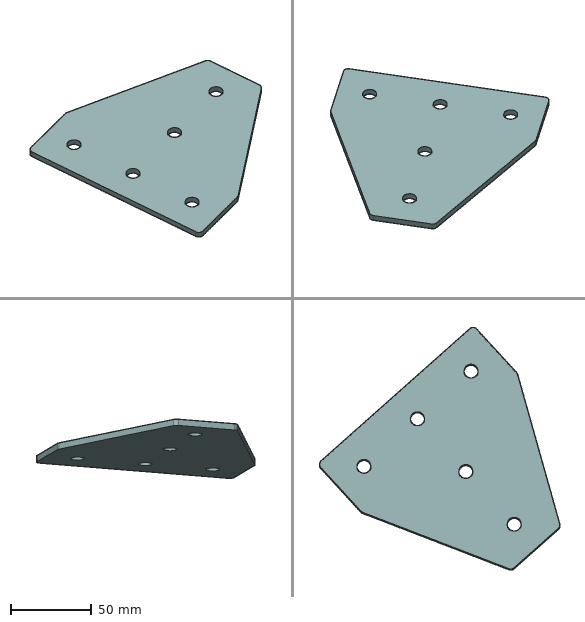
import cadquery as cq

side = 131.0
thickness = 4.0
arm_width = 41.0
corner_radius = 3.0

hole_diameter = 8.6
half_side = side / 2
half_arm = arm_width / 2
hole_pitch = half_side - half_arm
shoulder_y = -half_side + arm_width

outline = [
    (-half_side, -half_side),
    (half_side, -half_side),
    (half_side, shoulder_y),
    (half_arm, half_side),
    (-half_arm, half_side),
    (-half_side, shoulder_y),
]

hole_centers = [
    (-hole_pitch, -hole_pitch),
    (0, -hole_pitch),
    (hole_pitch, -hole_pitch),
    (0, 0),
    (0, hole_pitch),
]

plate = cq.Workplane("XY").polyline(outline).close().extrude(thickness)
plate = plate.edges("|Z").fillet(corner_radius)

top_face = plate.faces(">Z").workplane(origin=(0, 0, thickness))
result = top_face.pushPoints(hole_centers).hole(hole_diameter)